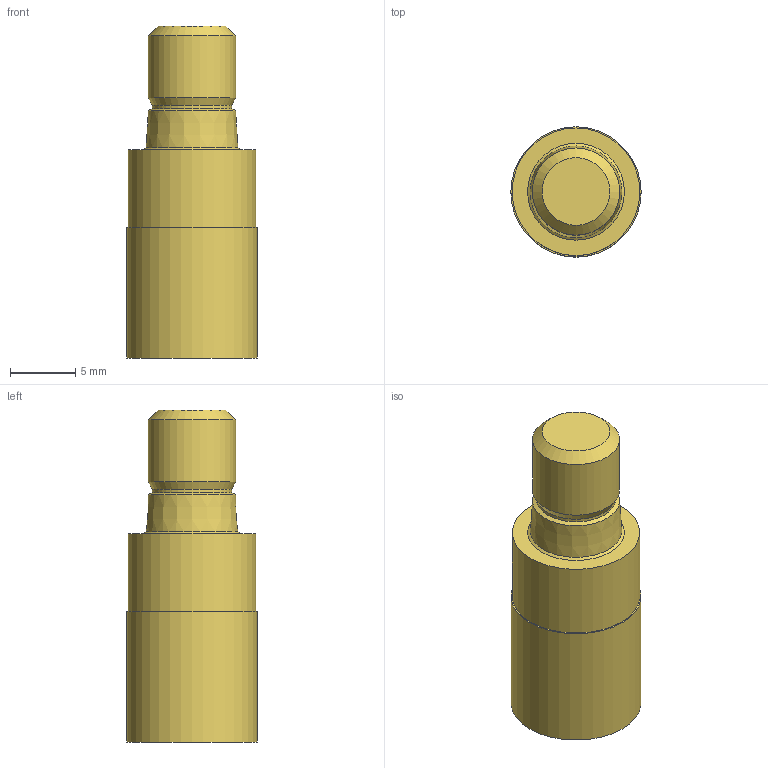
import cadquery as cq

head_diameter = 10.0
head_length = 10.0

collar_diameter = 9.8
collar_top = 16.0

seat_base_radius = 3.52
seat_top_radius = 3.35
seat_top = 19.0
seat_flare_width = 0.2
seat_flare_height = 0.15

groove_radius = 3.05
groove_bottom = 19.15
groove_top = 19.4

stud_radius = 3.35
stud_bottom = 20.0
stud_chamfer = 0.75
overall_length = 25.5


def make_cutting_head():
    return cq.Workplane("XY").circle(head_diameter / 2).extrude(head_length)


def make_shank():
    """Collar, tapered seat, groove and stud, revolved about Z as one solid."""
    collar_radius = collar_diameter / 2
    half_profile = (
        cq.Workplane("XZ")
        .moveTo(0, head_length)
        .lineTo(collar_radius, head_length)
        .lineTo(collar_radius, collar_top)
        .lineTo(seat_base_radius + seat_flare_width, collar_top)
        .lineTo(seat_base_radius, collar_top + seat_flare_height)
        .lineTo(seat_top_radius, seat_top)
        .lineTo(groove_radius, groove_bottom)
        .lineTo(groove_radius, groove_top)
        .lineTo(stud_radius, stud_bottom)
        .lineTo(stud_radius, overall_length - stud_chamfer)
        .lineTo(stud_radius - stud_chamfer, overall_length)
        .lineTo(0, overall_length)
        .close()
    )
    return half_profile.revolve(360, (0, 0, 0), (0, 1, 0))


cutting_head = make_cutting_head()
shank = make_shank()

result = cq.Compound.makeCompound([cutting_head.val(), shank.val()])